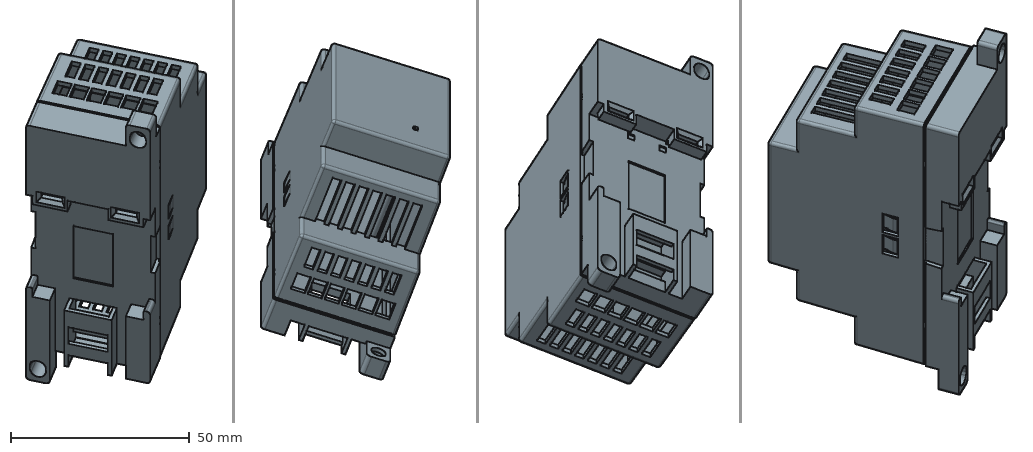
import cadquery as cq


UPRIGHT = 90

base_half_width = 18.1
base_half_height = 45.1
total_half_height = 53.3
wall = 1.6

channel_depth = 5.1
base_depth = 9.9
lip_top = 10.6
lip_inset = 0.4
base_floor = 2.3
corner_radius = 1.1

lug_width = 7.0
lug_depth = 6.1
lug_hole_radius = 2.1
lug_hole_z = 49.3
lug_slot_width = 4.7
lug_slot_length = 5.8
lug_slot_shift = 1.1
lug_slot_depth = 4.8
lower_lug_radius = 1.4

upper_lip_z = 14.9
upper_ledge_z = 18.1
upper_lip_root = 3.8
upper_lip_tip = 3.3
lip_half_width = 16.2
lower_ledge_z = -20.9
lower_strip_z = -17.4
strip_inner_radius = 0.5
middle_notch_half_width = 6.0
middle_notch_top = 19.1
rail_block_width = 7.0

bump_width = 2.0
bump_top = 16.5
bump_bottom = 14.3
bump_height = 0.4

pocket_x = 10.9
pocket_z = 18.1
pocket_width = 8.3
pocket_height = 4.0
pocket_bevel = 1.1
pocket_depth = 2.6

label_half_width = 5.8
label_bottom = -15.6
label_top = 4.7
label_depth = 0.5

latch_half_width = 6.9
latch_top = -23.6
latch_wall = 1.2
latch_window_top = -29.8
latch_window_bottom = -36.2
latch_notch_top = -40.6

grip_depth = 1.3
grip_half_height_rear = 7.0
grip_half_height_front = 6.6
groove_tab_z = 30.2
groove_tab_height = 2.5
groove_tab_width = 2.1

housing_left = -18.1
housing_right = 17.9
side_draft = 0.009
end_draft = 0.026
housing_radius = 1.0
tiers = [(31.7, 44.6), (49.2, 33.9), (57.7, 22.7)]

vent_span = 24.0
vent_width = 2.7
vent_count = 7
vent_pitch = vent_span / (vent_count - 1)
vent_rows = [(tiers[0][0], 46.2), (22.4, 28.8)]
terminal_pitch = 5.0
terminal_width = 4.2
terminal_count = 6
terminal_row = (14.6, 19.8)
terminal_centre_x = -0.16

snap_centres_z = (4.2, -3.8)
window_rear = 18.2
window_front = 23.0
window_height = 6.9
window_depth = 1.1
hook_rear = 18.7
hook_crest = 19.9
hook_height = 5.0
hook_crest_x = 18.0
window_hook_rise = 0.7

pipe_x = -7.1
pipe_z = -12.8
pipe_radius = 1.4
pipe_rear = 21.3
pipe_tip_radius = 0.7
pipe_front = 58.0


def block(x0, x1, y0, y1, z0, z1):
    """Box between two opposite corners."""
    return cq.Workplane("XY").box(x1 - x0, y1 - y0, z1 - z0, centered=False).translate((x0, y0, z0))


def along_y(y0):
    """Workplane at the given Y whose local axes are X and Z and whose normal is -Y."""
    return cq.Workplane("XZ", origin=(0, y0, 0))


def prism_along_z(points, z0, z1):
    """XY outline extruded between two heights."""
    return cq.Workplane("XY", origin=(0, 0, z0)).polyline(points).close().extrude(z1 - z0)


def base_shell():
    """Rear box with its two lugs and the lip that closes the joint, hollow towards the housing."""
    w, h = base_half_width, base_half_height
    body = block(-w, w, 0, base_depth, -h, h)
    body = body.edges("|Y and <X and >Z").fillet(corner_radius)
    body = body.edges("|Y and >X and <Z").fillet(corner_radius)
    upper_lug = block(w - lug_width, w, 0, lug_depth, 0, total_half_height)
    lower_lug = block(-w, -w + lug_width, 0, lug_depth, -total_half_height, 0)
    body = body.union(upper_lug.edges("|Y and >Z").fillet(corner_radius))
    body = body.union(lower_lug.edges("|Y and <Z").fillet(lower_lug_radius))
    lip = block(-w + lip_inset, w - lip_inset, channel_depth, lip_top, -h + lip_inset, h - lip_inset)
    body = body.union(lip.edges("|Y").fillet(corner_radius))
    inner_w = w - grip_depth - wall
    inner_h = h - wall
    return body.cut(block(-inner_w, inner_w, channel_depth + base_floor, lip_top, -inner_h, inner_h))


def lug_hole(x, z, slot_direction):
    """Round hole with a slot that widens it towards the body on the mounting side."""
    hole = along_y(lug_depth).center(x, z).circle(lug_hole_radius).extrude(lug_depth)
    slot_z = z + slot_direction * lug_slot_shift
    slot = along_y(lug_slot_depth).center(x, slot_z).slot2D(lug_slot_length, lug_slot_width, UPRIGHT)
    return hole.union(slot.extrude(lug_slot_depth))


def rail_channel():
    """Space removed for the rail, its undercut and the gaps beside the latch."""
    w = base_half_width
    d = channel_depth
    channel = block(-w, w, 0, d, lower_strip_z, upper_lip_z)
    undercut = [
        (d, upper_lip_z),
        (d, upper_ledge_z),
        (upper_lip_root, upper_ledge_z),
        (upper_lip_tip, upper_lip_z),
    ]
    channel = channel.union(cq.Workplane("YZ", origin=(-w, 0, 0)).polyline(undercut).close().extrude(2 * w))
    for side in (-1, 1):
        x0, x1 = sorted((side * lip_half_width, side * w))
        channel = channel.union(block(x0, x1, 0, d, upper_lip_z, upper_ledge_z))
    channel = channel.union(block(-lip_half_width, lip_half_width, 0, d, lower_ledge_z, lower_strip_z))
    middle = middle_notch_half_width
    channel = channel.union(block(-middle, middle, 0, d, upper_lip_z, middle_notch_top))
    gap = w - rail_block_width
    return channel.union(block(-gap, gap, 0, d, -base_half_height, lower_ledge_z))


def round_strip_tops(body):
    """Round the upper edges of the two narrow strips below the channel."""
    margin = 0.2
    for x, radius in ((base_half_width, corner_radius), (lip_half_width, strip_inner_radius)):
        for side in (-1, 1):
            corner = (side * x, channel_depth / 2, lower_strip_z)
            box = cq.selectors.BoxSelector(
                tuple(c - margin for c in corner), tuple(c + margin for c in corner)
            )
            body = body.edges(box).fillet(radius)
    return body


def bevelled_pocket(x):
    """Rectangular pocket with a funnel-shaped mouth."""
    mouth = along_y(0).center(x, pocket_z).rect(pocket_width, pocket_height)
    floor_width = pocket_width - 2 * pocket_bevel
    floor_height = pocket_height - 2 * pocket_bevel
    funnel = mouth.workplane(offset=-pocket_bevel).rect(floor_width, floor_height).loft(ruled=True)
    half_w, half_h = floor_width / 2, floor_height / 2
    well = block(x - half_w, x + half_w, 0, pocket_depth, pocket_z - half_h, pocket_z + half_h)
    return funnel.union(well)


def channel_bump(x0):
    """Small ridge on the channel floor with two sloped flanks."""
    crest = (channel_depth - bump_height, (bump_top + bump_bottom) / 2)
    points = [(channel_depth, bump_top), crest, (channel_depth, bump_bottom)]
    return cq.Workplane("YZ", origin=(x0, 0, 0)).polyline(points).close().extrude(bump_width)


def side_grip(side):
    """Recess in one side of the base that widens towards the channel floor."""
    rear, front = grip_half_height_rear, grip_half_height_front
    points = [(channel_depth, -rear), (channel_depth, rear), (lip_top, front), (lip_top, -front)]
    x0 = base_half_width - grip_depth if side > 0 else -base_half_width
    return cq.Workplane("YZ", origin=(x0, 0, 0)).polyline(points).close().extrude(grip_depth)


def latch():
    """Three-sided latch frame with a window and an open notch at its lower end."""
    w = latch_half_width
    inner = w - latch_wall
    body = block(-w, w, 0, channel_depth, -base_half_height, latch_top)
    body = body.cut(block(-inner, inner, latch_wall, channel_depth, -base_half_height, latch_top))
    body = body.cut(block(-inner, inner, 0, latch_wall, latch_window_bottom, latch_window_top))
    body = body.cut(block(-inner, inner, 0, latch_wall, -base_half_height, latch_notch_top))
    return body


def latch_opening(z0, z1):
    """Opening through the channel floor behind a solid stretch of the latch plate."""
    inner = latch_half_width - latch_wall
    return block(-inner, inner, channel_depth, channel_depth + base_floor, z0, z1)


def make_base():
    lug_x = base_half_width - lug_width / 2
    body = base_shell().cut(rail_channel())
    body = round_strip_tops(body)
    body = body.cut(lug_hole(lug_x, lug_hole_z, -1)).cut(lug_hole(-lug_x, -lug_hole_z, 1))
    label_floor = channel_depth + label_depth
    label = block(-label_half_width, label_half_width, channel_depth, label_floor, label_bottom, label_top)
    body = body.cut(label)
    body = body.cut(latch_opening(latch_window_top, latch_top))
    body = body.cut(latch_opening(latch_notch_top, latch_window_bottom))
    for side in (-1, 1):
        body = body.cut(bevelled_pocket(side * pocket_x)).cut(side_grip(side))
    for x0 in (-middle_notch_half_width, middle_notch_half_width - bump_width):
        body = body.union(channel_bump(x0))
    tab_outer = base_half_width - lip_inset / 2
    for side in (-1, 1):
        for z in (-groove_tab_z, groove_tab_z):
            x0, x1 = sorted((side * tab_outer, side * (tab_outer - groove_tab_width)))
            half = groove_tab_height / 2
            tab = block(x0, x1, base_depth, lip_top, z - half, z + half)
            body = body.union(tab)
    return body.union(latch())


def tier_block(front, half_height, inset):
    """Drafted block from the joint to a front face; the inset shrinks it on all closed sides."""
    depth = front - lip_top
    rear_half_height = half_height + end_draft * depth
    left, right = housing_left + inset, housing_right - inset
    shift = side_draft * depth
    centre_x = (left + right) / 2
    rear = along_y(lip_top).center(centre_x, 0).rect(right - left, 2 * (rear_half_height - inset))
    front_plane = rear.workplane(offset=-(depth - inset))
    return front_plane.rect(right - left - 2 * shift, 2 * (half_height - inset)).loft(ruled=True)


def housing_shell():
    """Stepped shell made of nested tiers, each one narrower and reaching further to the front."""
    shell = None
    cavity = None
    for front, half_height in tiers:
        outer = tier_block(front, half_height, 0).faces("not <Y").edges("not <Y").fillet(housing_radius)
        inner = tier_block(front, half_height, wall)
        shell = outer if shell is None else shell.union(outer)
        cavity = inner if cavity is None else cavity.union(inner)
    return shell.cut(cavity)


def opening_row(count, pitch, width, centre_x, y_range):
    """Row of openings through both end walls."""
    y0, y1 = y_range
    row = cq.Workplane("XY", origin=(centre_x, (y0 + y1) / 2, -total_half_height))
    row = row.rarray(pitch, 1.1, count, 1).rect(width, y1 - y0)
    return row.extrude(2 * total_half_height)


def side_x(surface, y):
    """X of a drafted housing side at the given Y."""
    shift = side_draft * (y - lip_top)
    return surface - shift if surface > 0 else surface + shift


def snap_window(z):
    """Pocket in the left side that leaves a ramped hook standing on its floor."""
    skin = side_x(housing_left, window_front)
    floor = skin + window_depth
    half = window_height / 2
    pocket = block(housing_left, floor, window_rear, window_front, z - half, z + half)
    crest = floor - window_hook_rise
    points = [(floor, hook_rear), (crest, hook_rear), (crest, hook_crest), (floor, window_front)]
    return pocket.cut(prism_along_z(points, z - hook_height / 2, z + hook_height / 2))


def snap_hook(z):
    """Ramped hook on the right side."""
    root = housing_right - wall / 2
    toe = side_x(housing_right, window_front)
    crest = hook_crest_x
    points = [
        (root, hook_rear),
        (crest, hook_rear),
        (crest, hook_crest),
        (toe, window_front),
        (root, window_front),
    ]
    return prism_along_z(points, z - hook_height / 2, z + hook_height / 2)


def make_housing(light_pipe):
    body = housing_shell()
    for y_range in vent_rows:
        body = body.cut(opening_row(vent_count, vent_pitch, vent_width, 0, y_range))
    terminals = opening_row(terminal_count, terminal_pitch, terminal_width, terminal_centre_x, terminal_row)
    body = body.cut(terminals)
    for z in snap_centres_z:
        body = body.cut(snap_window(z)).union(snap_hook(z))
    return body.cut(light_pipe)


def make_light_pipe():
    """Stepped rod whose thin tip shows through the front wall."""
    shoulder = tiers[-1][0] - wall
    rod = along_y(shoulder).center(pipe_x, pipe_z).circle(pipe_radius).extrude(shoulder - pipe_rear)
    tip = along_y(pipe_front).center(pipe_x, pipe_z).circle(pipe_tip_radius).extrude(pipe_front - shoulder)
    return rod.union(tip)


base = make_base()
light_pipe = make_light_pipe()
housing = make_housing(light_pipe)

result = cq.Compound.makeCompound([base.val(), housing.val(), light_pipe.val()])